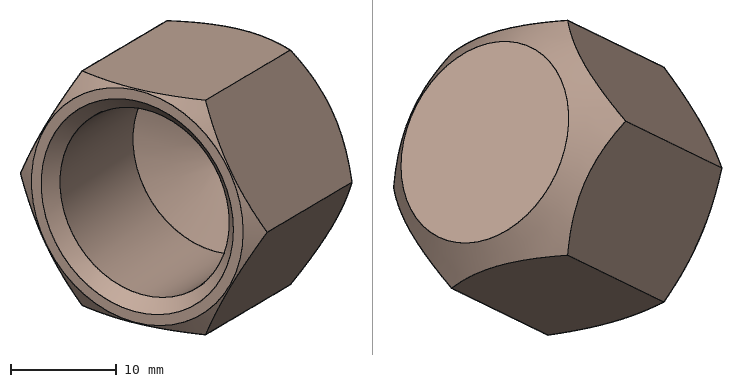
import cadquery as cq
import math

across_corners = 27.7
length = 20.0
open_face_diameter = 23.78
open_chamfer_angle = 30.0
closed_face_diameter = 20.0
closed_chamfer_angle = 45.0
bore_diameter = 19.0
bore_depth = 14.2
bore_tip_angle = 140.0
mouth_diameter = 21.59
mouth_angle = 90.0

corner_radius = across_corners / 2
bore_radius = bore_diameter / 2
mouth_radius = mouth_diameter / 2


def revolve_about_y(points):
    """Revolve a closed (radius, y) outline about the Y axis."""
    outline = cq.Workplane("XY").polyline(points).close()
    return outline.revolve(360, (0, 0), (0, 1))


def make_hexagon():
    """Hexagonal bar with two corners on the X axis."""
    return cq.Workplane("XZ").polygon(6, across_corners).extrude(-length)


def make_chamfer_envelope():
    """Turned shape that trims the hexagon corners at both ends."""
    open_radius = open_face_diameter / 2
    closed_radius = closed_face_diameter / 2
    open_depth = (corner_radius - open_radius) * math.tan(math.radians(open_chamfer_angle))
    closed_depth = (corner_radius - closed_radius) * math.tan(math.radians(closed_chamfer_angle))
    return revolve_about_y([
        (0, 0),
        (open_radius, 0),
        (corner_radius, open_depth),
        (corner_radius, length - closed_depth),
        (closed_radius, length),
        (0, length),
    ])


def make_bore():
    """Countersunk blind bore with a conical bottom."""
    mouth_depth = (mouth_radius - bore_radius) / math.tan(math.radians(mouth_angle / 2))
    tip_depth = bore_radius / math.tan(math.radians(bore_tip_angle / 2))
    return revolve_about_y([
        (0, 0),
        (mouth_radius, 0),
        (bore_radius, mouth_depth),
        (bore_radius, bore_depth),
        (0, bore_depth + tip_depth),
    ])


result = make_hexagon().intersect(make_chamfer_envelope()).cut(make_bore())